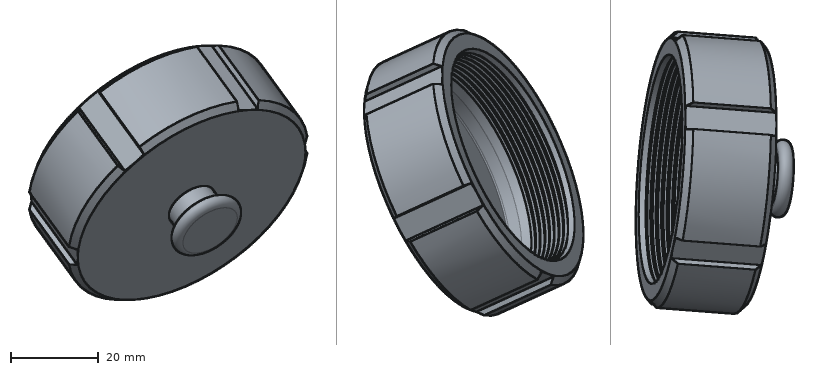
import cadquery as cq

outer_radius = 31.5
body_length = 21.1
edge_chamfer = 1.6

slot_count = 6
slot_floor_distance = 29.9
slot_floor_width = 5.8
slot_mouth_width = 6.7

mouth_radius = 26.15
thread_inner_radius = 25.75
seat_radius = 25.3
mouth_chamfer_length = 1.5
taper_length = 2.15
cavity_depth = 17.0
floor_fillet = 0.3

groove_count = 8
groove_pitch = 1.25
groove_depth = 0.75
crest_width = 0.2
thread_end = mouth_chamfer_length + groove_count * groove_pitch

neck_radius = 6.0
knob_radius = 8.9
knob_thickness = 3.45
overall_length = 29.5
knob_start = overall_length - knob_thickness


def make_body():
    body = cq.Workplane("YZ").circle(outer_radius).extrude(body_length)
    return body.edges().chamfer(edge_chamfer)


def make_slot_cutter():
    """Flared trapezoid along X; its mouth lies at the outer radius."""
    height = outer_radius - slot_floor_distance
    flare = (slot_mouth_width - slot_floor_width) / 2 / height
    top = outer_radius + height
    half_floor = slot_floor_width / 2
    half_top = half_floor + flare * (top - slot_floor_distance)
    outline = [
        (slot_floor_distance, -half_floor),
        (top, -half_top),
        (top, half_top),
        (slot_floor_distance, half_floor),
    ]
    return cq.Workplane("YZ").polyline(outline).close().extrude(body_length)


def make_cavity():
    """Revolved hollow: mouth chamfer, thread grooves, taper, seat and rounded floor."""
    profile = cq.Workplane("XY").lineTo(0, mouth_radius)
    profile = profile.lineTo(mouth_chamfer_length, thread_inner_radius)
    groove_width = groove_pitch - crest_width
    for index in range(groove_count):
        groove_start = mouth_chamfer_length + index * groove_pitch
        profile = profile.lineTo(groove_start + groove_width / 2, thread_inner_radius + groove_depth)
        profile = profile.lineTo(groove_start + groove_width, thread_inner_radius)
        profile = profile.lineTo(groove_start + groove_pitch, thread_inner_radius)
    profile = (
        profile.lineTo(thread_end + taper_length, seat_radius)
        .lineTo(cavity_depth - floor_fillet, seat_radius)
        .radiusArc((cavity_depth, seat_radius - floor_fillet), floor_fillet)
        .lineTo(cavity_depth, 0)
        .close()
    )
    return profile.revolve(360, (0, 0, 0), (1, 0, 0))


def make_knob():
    neck = cq.Workplane("YZ", origin=(body_length, 0, 0)).circle(neck_radius)
    neck = neck.extrude(knob_start - body_length)
    edge_radius = knob_thickness / 2
    flat_radius = knob_radius - edge_radius
    disc = (
        cq.Workplane("XY")
        .moveTo(knob_start, 0)
        .lineTo(knob_start, flat_radius)
        .threePointArc((knob_start + edge_radius, knob_radius), (overall_length, flat_radius))
        .lineTo(overall_length, 0)
        .close()
        .revolve(360, (0, 0, 0), (1, 0, 0))
    )
    return neck.union(disc)


result = make_body()
slot_cutter = make_slot_cutter()
for index in range(slot_count):
    angle = index * 360 / slot_count
    result = result.cut(slot_cutter.rotate((0, 0, 0), (1, 0, 0), angle))
result = result.cut(make_cavity())
result = result.union(make_knob())